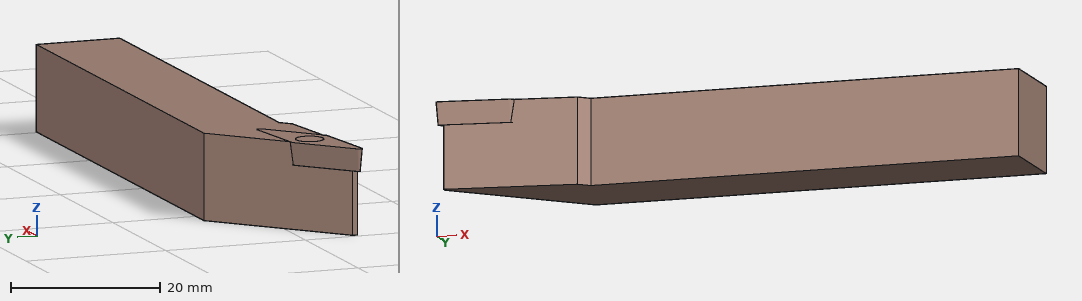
import cadquery as cq
import math

total_length = 80.9
shank_size = 12.0

edge_angle = 8.0
nose_angle = 35.0
flank_angle = edge_angle + nose_angle

insert_center = (8.75, 0.1)
inscribed_diameter = 6.4
insert_thickness = 3.15
clearance_angle = 5.0
corner_radius = 0.43
pin_diameter = 3.8

head_tip_x = 1.05
back_corner_x = 17.3
heel_start_x = 19.1
heel_end_x = 20.55


def make_insert():
    """Rhombic insert with four rounded corners, widest at its top face."""
    inscribed_radius = inscribed_diameter / 2
    half_nose = math.radians(nose_angle / 2)
    half_long = inscribed_radius / math.sin(half_nose)
    half_short = inscribed_radius / math.cos(half_nose)
    corners = [(half_long, 0), (0, half_short), (-half_long, 0), (0, -half_short)]
    outline = cq.Sketch().polygon([*corners, corners[0]]).vertices().fillet(corner_radius)
    return (
        cq.Workplane("XY")
        .placeSketch(outline)
        .extrude(-insert_thickness, taper=clearance_angle)
        .rotate((0, 0, 0), (0, 0, 1), edge_angle + nose_angle / 2)
        .translate((*insert_center, shank_size))
    )


def make_pin():
    """Retaining pin that fills the insert bore, flush with the top face."""
    return (
        cq.Workplane("XY", origin=(*insert_center, shank_size))
        .circle(pin_diameter / 2)
        .extrude(-insert_thickness)
    )


def make_holder_blank():
    """Square shank with a slanted head that ends in a blunt tip."""
    flank_slope = math.tan(math.radians(flank_angle))
    edge_slope = math.tan(math.radians(edge_angle))
    heel_y = -(heel_end_x - heel_start_x) * flank_slope
    tip_back_y = shank_size - (back_corner_x - head_tip_x) * flank_slope
    tip_front_y = heel_y - (heel_start_x - head_tip_x) * edge_slope
    outline = [
        (total_length, 0),
        (total_length, shank_size),
        (back_corner_x, shank_size),
        (head_tip_x, tip_back_y),
        (head_tip_x, tip_front_y),
        (heel_start_x, heel_y),
        (heel_end_x, 0),
    ]
    return cq.Workplane("XY").polyline(outline).close().extrude(shank_size)


insert_blank = make_insert()
pin = make_pin()

insert = insert_blank.cut(pin)
holder = make_holder_blank().cut(insert_blank).union(pin)

result = cq.Compound.makeCompound([holder.val(), insert.val()])